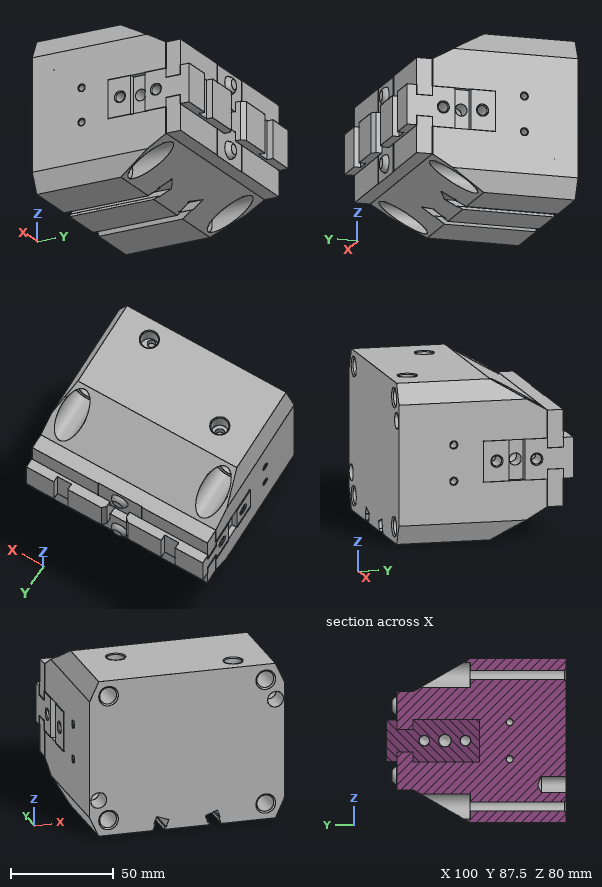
import cadquery as cq
import math

body_width = 99.2
body_height = 80.0
corner_x = 4.6
corner_z = 10.0
nose_back_y = 74.5
front_y = 82.5
nose_half_height = 24.0
taper_angle = 30.0

seam_width = 0.3
seam_depth = 0.2

relief_width = 24.6
relief_depth = 0.3
button_z = 17.0
button_radius = 4.6
button_top_radius = 2.6
button_bulge = 0.4
button_height = 2.6

jaw_outer_x = 50.0
jaw_inner_x = 5.5
jaw_height = 20.3
jaw_back_y = 42.3
jaw_front_y = 87.5
rail_half_gap = 5.3
jaw_bevel = 2.0
notch_x = 30.4
notch_width = 7.9
notch_depth = 3.3
jaw_hole_y = 59.0
jaw_hole_pitch = 10.0
jaw_slot_width = 8.0
jaw_slot_depth = 3.0
locating_hole_dia = 6.0
jaw_thread_dia = 5.0
jaw_thread_mouth = 6.1
jaw_hole_depth = 12.0

mount_x = 40.0
mount_z = 32.0
mount_dia = 8.5
mount_mouth = 10.0
counterbore_dia = 14.0

pin_hole_x = 45.0
pin_hole_z = 21.4
pin_hole_dia = 8.0
pin_hole_depth = 12.0

port_dia = 8.8
port_mouth = 9.8
port_depth = 9.0
port_drill_depth = 13.0
side_port = (-26.5, 32.0)
side_port_drill_dia = 5.0
back_port = (26.5, 10.0)
back_port_drill_dia = 4.0
back_port_drill_shift = 2.0

side_hole_y = 27.5
side_hole_z = 9.0
side_hole_dia = 3.3
side_hole_mouth = 4.0
side_hole_depth = 9.0

sensor_tilt = 20.0
sensor_x = 12.4
sensor_floor_z = -34.0
sensor_width = 6.5
sensor_mouth_width = 5.2
sensor_wide_length = 3.8
sensor_length = 9.0

drill_point_angle = 118.0
half_width = body_width / 2
half_height = body_height / 2
taper_start_y = nose_back_y - (half_height - nose_half_height) / math.tan(math.radians(taper_angle))
relief_y = front_y - relief_depth


def centred_box(x_size, y_range, z_size, x=0.0, z=0.0):
    """Box centred on x and z that spans the given range of Y."""
    y_start, y_end = y_range
    return cq.Workplane("XY").box(x_size, y_end - y_start, z_size).translate((x, (y_start + y_end) / 2, z))


def drilled_hole(point, direction, diameter, depth, mouth=None):
    """Blind hole with a conical end and, where a mouth diameter is given, a 45 degree lead-in."""
    radius = diameter / 2
    point_length = radius / math.tan(math.radians(drill_point_angle / 2))
    start, axis = cq.Vector(*point), cq.Vector(*direction)
    hole = cq.Solid.makeCylinder(radius, depth, start, axis)
    hole = hole.fuse(cq.Solid.makeCone(radius, 0, point_length, start + axis * depth, axis))
    if mouth:
        hole = hole.fuse(lead_in(point, direction, diameter, mouth))
    return hole


def lead_in(point, direction, diameter, mouth):
    """45 degree cone that widens a hole to the mouth diameter at its entry."""
    depth = (mouth - diameter) / 2
    return cq.Solid.makeCone(mouth / 2, diameter / 2, depth, cq.Vector(*point), cq.Vector(*direction))


def housing_block():
    """Block with bevelled long edges that slopes down to a lower front nose."""
    inner_x, inner_z = half_width - corner_x, half_height - corner_z
    end_outline = [
        (-inner_x, -half_height), (inner_x, -half_height), (half_width, -inner_z), (half_width, inner_z),
        (inner_x, half_height), (-inner_x, half_height), (-half_width, inner_z), (-half_width, -inner_z),
    ]
    side_outline = [
        (0, -half_height), (taper_start_y, -half_height), (nose_back_y, -nose_half_height),
        (front_y, -nose_half_height), (front_y, nose_half_height), (nose_back_y, nose_half_height),
        (taper_start_y, half_height), (0, half_height),
    ]
    prism = cq.Workplane("XZ").polyline(end_outline).close().extrude(-front_y)
    profile = cq.Workplane("YZ").polyline(side_outline).close().extrude(half_width, both=True)
    return prism.intersect(profile)


def jaw_guide():
    """T-shaped channel that runs along X, narrowed by the two rails of the nose."""
    wide = centred_box(body_width, (jaw_back_y, nose_back_y), jaw_height)
    return wide.union(centred_box(body_width, (nose_back_y, front_y), 2 * rail_half_gap))


def nose_seam(side):
    """Fine groove at the root of the nose, in the end face on the given side of X."""
    x = side * (half_width - seam_depth / 2)
    return centred_box(seam_depth, (nose_back_y - seam_width, nose_back_y), 2 * nose_half_height, x)


def button(z):
    """Domed head with a flat top, standing on the relief."""
    head = (
        cq.Workplane("XY").lineTo(button_radius, 0)
        .sagittaArc((button_top_radius, button_height), -button_bulge)
        .lineTo(0, button_height).close().revolve(360, (0, 0), (0, 1))
    )
    return head.translate((0, relief_y, z))


def mounting_hole(x, z):
    """Through hole along Y with a lead-in at the back and a counterbore from the slope forward."""
    back, along_y = (x, 0, z), (0, 1, 0)
    hole = cq.Solid.makeCylinder(mount_dia / 2, front_y, cq.Vector(*back), cq.Vector(*along_y))
    bore = cq.Solid.makeCylinder(
        counterbore_dia / 2, front_y - taper_start_y, cq.Vector(x, taper_start_y, z), cq.Vector(*along_y)
    )
    return hole.fuse(bore, lead_in(back, along_y, mount_dia, mount_mouth))


def air_port(x, y, drill_dia, drill_shift=0.0):
    """Flat-bottomed port in the top face with a drilling in its floor."""
    down = (0, 0, -1)
    top = (x, y, half_height)
    port = cq.Solid.makeCylinder(port_dia / 2, port_depth, cq.Vector(*top), cq.Vector(*down))
    drilling = drilled_hole((x, y - drill_shift, half_height), down, drill_dia, port_drill_depth)
    return port.fuse(drilling, lead_in(top, down, port_dia, port_mouth))


def sensor_groove():
    """Tilted T-shaped groove along Y in the bottom face, on the -X side."""
    wide, mouth = sensor_width / 2, sensor_mouth_width / 2
    outline = [
        (-wide, 0), (wide, 0), (wide, -sensor_wide_length), (mouth, -sensor_wide_length),
        (mouth, -sensor_length), (-mouth, -sensor_length), (-mouth, -sensor_wide_length),
        (-wide, -sensor_wide_length),
    ]
    groove = cq.Workplane("XZ").polyline(outline).close().extrude(-front_y)
    groove = groove.rotate((0, 0, 0), (0, 1, 0), sensor_tilt)
    return groove.translate((-sensor_x, 0, sensor_floor_z))


def make_housing():
    housing = housing_block().cut(jaw_guide())
    housing = housing.cut(centred_box(relief_width, (relief_y, front_y), 2 * nose_half_height))
    for sign in (-1, 1):
        housing = housing.cut(nose_seam(sign))
        housing = housing.union(button(sign * button_z))
        pin_start = (sign * pin_hole_x, 0, sign * pin_hole_z)
        housing = housing.cut(drilled_hole(pin_start, (0, 1, 0), pin_hole_dia, pin_hole_depth))
        for z_sign in (-1, 1):
            housing = housing.cut(mounting_hole(sign * mount_x, z_sign * mount_z))
            side_start, inward = (sign * half_width, side_hole_y, z_sign * side_hole_z), (-sign, 0, 0)
            side_hole = drilled_hole(side_start, inward, side_hole_dia, side_hole_depth, side_hole_mouth)
            housing = housing.cut(side_hole)
    housing = housing.cut(air_port(*side_port, side_port_drill_dia))
    housing = housing.cut(air_port(*back_port, back_port_drill_dia, back_port_drill_shift))
    groove = sensor_groove()
    return housing.cut(groove).cut(groove.mirror("YZ"))


def make_left_jaw():
    """Jaw on the -X side: a T-shaped slide with a notched front face and a drilled end face."""
    length = jaw_outer_x - jaw_inner_x
    middle_x = -(jaw_outer_x + jaw_inner_x) / 2
    jaw = centred_box(length, (jaw_back_y, jaw_front_y), jaw_height, middle_x)
    jaw = jaw.edges(">X and >Y").chamfer(jaw_bevel)
    rail_depth = jaw_height / 2 - rail_half_gap
    for sign in (-1, 1):
        rail_z = sign * (rail_half_gap + rail_depth / 2)
        jaw = jaw.cut(centred_box(length, (nose_back_y, front_y), rail_depth, middle_x, rail_z))
    jaw = jaw.cut(centred_box(notch_width, (jaw_front_y - notch_depth, jaw_front_y), jaw_height, -notch_x))

    slot_range = (jaw_hole_y - jaw_slot_width / 2, jaw_hole_y + jaw_slot_width / 2)
    jaw = jaw.cut(centred_box(jaw_slot_depth, slot_range, jaw_height, jaw_slot_depth / 2 - jaw_outer_x))
    inward = (1, 0, 0)
    jaw = jaw.cut(drilled_hole((-jaw_outer_x, jaw_hole_y, 0), inward, locating_hole_dia, jaw_hole_depth))
    for sign in (-1, 1):
        hole_start = (-jaw_outer_x, jaw_hole_y + sign * jaw_hole_pitch, 0)
        jaw = jaw.cut(drilled_hole(hole_start, inward, jaw_thread_dia, jaw_hole_depth, jaw_thread_mouth))
    return jaw


housing = make_housing()
left_jaw = make_left_jaw()
right_jaw = left_jaw.mirror("YZ")

bodies = [housing, left_jaw, right_jaw]
result = cq.Compound.makeCompound([body.solids().val() for body in bodies])